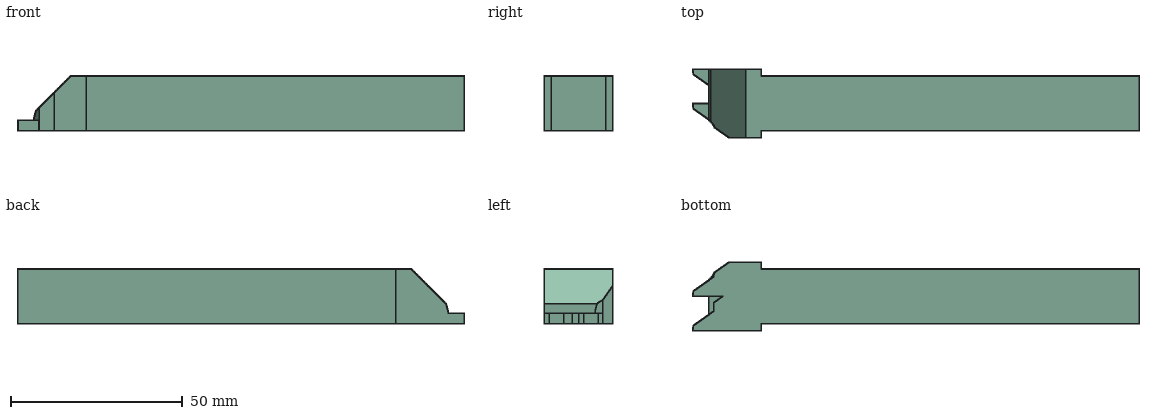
import cadquery as cq
import math

total_length = 130.0
shank_size = 16.0
head_width = 20.0
head_length = 20.0
back_y = head_width / 2
front_y = -head_width / 2

slope_start_x = 15.5
lip_top_x = 5.3
lip_bottom_x = 4.7
lip_top_z = shank_size - (slope_start_x - lip_top_x)
lip_bottom_z = 3.5

tooth_height = 3.1
tooth_pitch = 10.0
tip_width = 1.5
tip_skew = math.radians(7.5)
tip_setback = tip_width * math.tan(tip_skew)
flank_angle = math.radians(35)
flank_slope = math.tan(flank_angle)
root_x = 6.1
root_wall_width = 2.5
second_tooth_y = back_y - tooth_pitch

chamfer_end_x = 10.7
shoulder_x = 6.4
shoulder_y = front_y + (chamfer_end_x - shoulder_x) * flank_slope
hollow_radius = 4.5
hollow_end_angle = math.radians(20)
hollow_start_angle = math.radians(60)


def flank_outline(tooth_y):
    """Return the plan points of a tooth's tip and flank, given the Y of its straight side."""
    tip_end_y = tooth_y - tip_width
    root_y = tip_end_y - (root_x - tip_setback) * flank_slope
    return [(0, tooth_y), (tip_setback, tip_end_y), (root_x, root_y)]


def hollow_point(angle):
    """Return the point of the hollow arc whose normal is turned by angle from the X axis."""
    centre_x = shoulder_x - hollow_radius * math.cos(hollow_end_angle)
    centre_y = shoulder_y - hollow_radius * math.sin(hollow_end_angle)
    return (
        centre_x + hollow_radius * math.cos(angle),
        centre_y + hollow_radius * math.sin(angle),
    )


def make_nose():
    """Return the head above the teeth, with the hollow and chamfer cut from its front corner."""
    nose = (
        cq.Workplane("XZ")
        .moveTo(lip_bottom_x, tooth_height)
        .lineTo(head_length, tooth_height)
        .lineTo(head_length, shank_size)
        .lineTo(slope_start_x, shank_size)
        .lineTo(lip_top_x, lip_top_z)
        .lineTo(lip_bottom_x, lip_bottom_z)
        .close()
        .extrude(head_width / 2, both=True)
    )
    middle_angle = (hollow_start_angle + hollow_end_angle) / 2
    hollow_start = hollow_point(hollow_start_angle)
    corner = (
        cq.Workplane("XY")
        .moveTo(0, hollow_start[1])
        .lineTo(*hollow_start)
        .threePointArc(hollow_point(middle_angle), (shoulder_x, shoulder_y))
        .lineTo(chamfer_end_x, front_y)
        .lineTo(0, front_y)
        .close()
        .extrude(shank_size)
    )
    return nose.cut(corner)


def make_tooth_plate():
    """Return the lower layer of the head, carrying both teeth and the gap between them."""
    gap_ramp_y = flank_outline(back_y)[-1][1] - root_wall_width
    gap_end_x = root_x + (gap_ramp_y - second_tooth_y) / flank_slope
    outline = (
        [(head_length, back_y)]
        + flank_outline(back_y)
        + [(root_x, gap_ramp_y), (gap_end_x, second_tooth_y)]
        + flank_outline(second_tooth_y)
        + [(shoulder_x, shoulder_y), (chamfer_end_x, front_y), (head_length, front_y)]
    )
    return cq.Workplane("XY").polyline(outline).close().extrude(tooth_height)


def make_shank():
    """Return the square bar behind the head, centred on the head's width."""
    return (
        cq.Workplane("XY")
        .box(total_length - head_length, shank_size, shank_size, centered=(False, True, False))
        .translate((head_length, 0, 0))
    )


result = make_tooth_plate().union(make_nose()).union(make_shank())